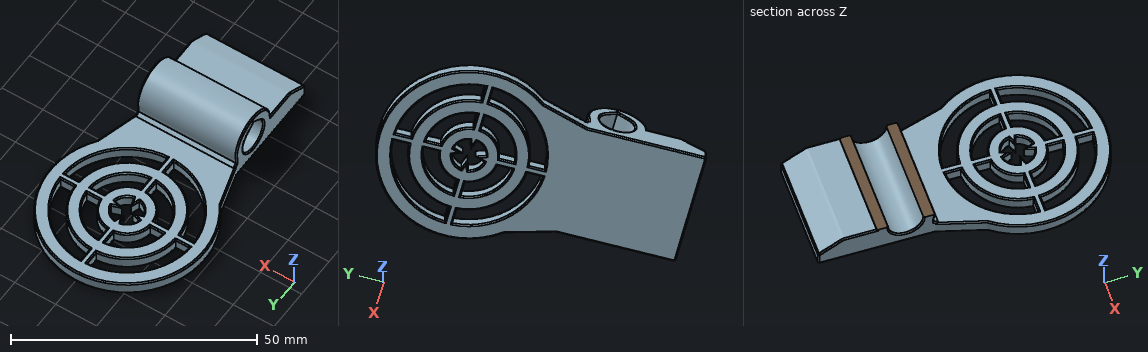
import cadquery as cq
import math

disc_radius = 19.0
total_length = 65.75
body_half_width = 12.15
plate_thickness = 3.1
edge_break = 0.3

hub_radius = 6.2
open_bands = [(hub_radius, 9.4), (12.4, 15.8)]
centre_hole_radius = 3.5
spoke_width = 1.6
pointer_base_width = 1.7
pointer_tip_radius = 1.3

neck_start_y = -11.6
neck_end_y = -21.6
neck_overlap = 3.3

tube_radius = 6.25
tube_y = -27.95
tube_z = tube_radius
bore_radius = 3.75
bore_peak_height = 4.6
joint_wall_offset = 6.05
joint_bevel_length = 0.9
joint_bevel_height = 0.65

ramp_length = 5.4
ramp_angle = 30.0
front_y = disc_radius - total_length
ramp_top_y = front_y + ramp_length
front_height = tube_z - ramp_length * math.tan(math.radians(ramp_angle))


def make_plate():
    """Disc and tapered neck with the target openings, all top and bottom edges broken."""
    neck_start_x = math.sqrt(disc_radius**2 - neck_start_y**2)
    neck_tail_y = neck_end_y - neck_overlap
    outline = (
        cq.Workplane("XY")
        .moveTo(-neck_start_x, neck_start_y)
        .threePointArc((0, disc_radius), (neck_start_x, neck_start_y))
        .lineTo(body_half_width, neck_end_y)
        .lineTo(body_half_width, neck_tail_y)
        .lineTo(-body_half_width, neck_tail_y)
        .lineTo(-body_half_width, neck_end_y)
        .close()
    )
    plate = outline.extrude(plate_thickness).cut(make_target_openings())
    return plate.faces("<Z or >Z").chamfer(edge_break)


def make_pointer():
    """Triangular prism that points from the hole wall to the centre."""
    half_width = pointer_base_width / 2
    base_radius = centre_hole_radius + edge_break
    return (
        cq.Workplane("XY")
        .polyline([(base_radius, -half_width), (base_radius, half_width), (pointer_tip_radius, 0)])
        .close()
        .extrude(plate_thickness)
    )


def make_target_openings():
    """Open bands split by four spokes, and the centre hole with four pointers."""
    openings = cq.Workplane("XY").circle(centre_hole_radius).extrude(plate_thickness)
    for quarter in range(4):
        openings = openings.cut(make_pointer().rotate((0, 0, 0), (0, 0, 1), 90 * quarter))

    for inner_radius, outer_radius in open_bands:
        band = cq.Workplane("XY").circle(outer_radius).circle(inner_radius).extrude(plate_thickness)
        openings = openings.union(band)

    spoke = cq.Workplane("XY").rect(2 * disc_radius, spoke_width).extrude(plate_thickness)
    hub = cq.Workplane("XY").circle(hub_radius).extrude(plate_thickness)
    spoke = spoke.cut(hub)
    return openings.cut(spoke).cut(spoke.rotate((0, 0, 0), (0, 0, 1), 90))


def make_body():
    """Tube housing, ledge and front ramp, drawn in the YZ plane."""
    wall_y = tube_y + joint_wall_offset
    wall_top_z = tube_z - math.sqrt(tube_radius**2 - joint_wall_offset**2)
    joint_foot_y = wall_y + joint_bevel_length
    profile = (
        cq.Workplane("YZ", origin=(-body_half_width, 0, 0))
        .moveTo(front_y, 0)
        .lineTo(joint_foot_y, 0)
        .lineTo(joint_foot_y, plate_thickness)
        .lineTo(wall_y, plate_thickness + joint_bevel_height)
        .lineTo(wall_y, wall_top_z)
        .threePointArc((tube_y, tube_z + tube_radius), (tube_y - tube_radius, tube_z))
        .lineTo(ramp_top_y, tube_z)
        .lineTo(front_y, front_height)
        .close()
    )
    body = profile.extrude(2 * body_half_width)
    front_corners = cq.selectors.BoxSelector(
        (-body_half_width, front_y - edge_break, -edge_break),
        (body_half_width, ramp_top_y + edge_break, tube_z + edge_break),
    )
    body = body.edges("|X").edges(front_corners).chamfer(edge_break)
    return body.cut(make_bore()).faces("<X or >X").chamfer(edge_break)


def make_bore():
    """Teardrop bore along X, with a peaked roof."""
    tangent_angle = math.acos(bore_radius / bore_peak_height)
    tangent_y = bore_radius * math.sin(tangent_angle)
    tangent_z = bore_radius * math.cos(tangent_angle)
    return (
        cq.Workplane("YZ", origin=(-body_half_width, tube_y, tube_z))
        .moveTo(-tangent_y, tangent_z)
        .threePointArc((0, -bore_radius), (tangent_y, tangent_z))
        .lineTo(0, bore_peak_height)
        .close()
        .extrude(2 * body_half_width)
    )


plate = make_plate()
body = make_body()
result = plate.union(body)